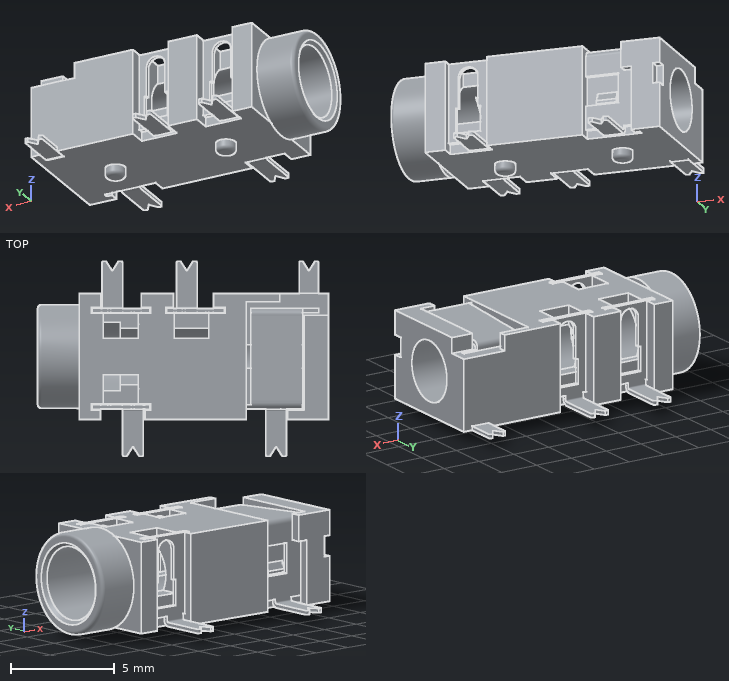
import cadquery as cq
import math

length = 14.0
body_width = 6.08
body_height = 4.5
body_top = body_height / 2
body_bottom = -body_top
body_side = body_width / 2

sleeve_length = 2.0
sleeve_radius = 5.0 / 2
sleeve_round = 0.2
entry_chamfer = 0.2

front_bore_radius = 3.6 / 2
rear_bore_radius = 3.1 / 2
bore_shoulder_x = 3.98

peg_radius = 1.0 / 2
peg_height = 0.5
peg_round = 0.2
peg_positions_x = (5.0, 11.0)

back_notch_length = 0.34
back_notch_depth = 0.5
back_notch_bottom = -0.01
back_notch_top = 1.0

sheet = 0.21
bend_radius = 0.08
left_plate_y = 2.32
right_plate_y = -2.53
left_tip_y = 4.59
right_tip_y = -4.8
tail_width = 1.01
tail_notch_width = 0.59
tail_notch_depth = 0.46
tail_tip_round = 0.08

plate_width = 2.77
plate_bottom = -1.75
slot_clearance = 0.04
keyhole_radius = 1.0 / 2
keyhole_top = 2.0
keyhole_step_z = -0.01
keyhole_foot_width = 1.26
keyhole_bottom = -1.29
window_inner_y = 0.88
window_floor = -0.74

bay_front = 10.05
bay_back = 12.82
bay_floor = 1.44
bay_side_y = -2.56
bay_wall_y = 2.65
bay_wall_end = 11.65
rear_block_side_y = 1.99
lip_upper_x = 12.03
lip_lower_x = 12.55
lip_step_z = 0.95
shell_front = 10.26
shell_back = 12.75
shell_left_back = 13.52
shell_high = 2.14
shell_low = 1.89
shell_slope_start_y = -2.11
shell_slope_end_y = 1.95
shell_round = 0.31
shell_plate_bottom = -1.83
shell_right_leg_x = 11.48
shell_left_leg_width = 0.94
catch_opening_end = 11.7
catch_opening_bottom = -0.65
catch_opening_top = 0.85
catch_x = (10.57, 11.58)
catch_bottom = -0.57
catch_edge_z = -0.4
catch_top = -0.03
catch_height = 0.15


def block(x, y, z):
    """Box between the given (start, end) pairs, in either order."""
    sizes = [abs(b - a) for a, b in (x, y, z)]
    corner = (min(x), min(y), min(z))
    return cq.Workplane("XY").box(*sizes, centered=False).translate(corner)


def outward(side, solid, x, outer_y):
    """Move a piece built facing +Y so that its outer face lies at outer_y, facing +Y or -Y."""
    turn = 0 if side > 0 else 180
    return solid.rotate((0, 0, 0), (0, 0, 1), turn).translate((x, outer_y, 0))


def bent_leg(width, reach, top):
    """Sheet leg that runs down its outer face y = 0 and bends out into a forked tail."""
    outer_radius = bend_radius + sheet
    centre_y = bend_radius
    centre_z = body_bottom + outer_radius
    diagonal = math.sqrt(0.5)
    strip = (
        cq.Workplane("YZ")
        .moveTo(-sheet, top)
        .lineTo(-sheet, centre_z)
        .threePointArc(
            (centre_y - outer_radius * diagonal, centre_z - outer_radius * diagonal),
            (centre_y, body_bottom),
        )
        .lineTo(reach, body_bottom)
        .lineTo(reach, body_bottom + sheet)
        .lineTo(centre_y, body_bottom + sheet)
        .threePointArc(
            (centre_y - bend_radius * diagonal, centre_z - bend_radius * diagonal),
            (0, centre_z),
        )
        .lineTo(0, top)
        .close()
        .extrude(width / 2, both=True)
    )
    strip = strip.edges("|Z and >Y").fillet(tail_tip_round)
    fork = (
        cq.Workplane("XY", origin=(0, 0, body_bottom))
        .polyline([
            (-tail_notch_width / 2, reach),
            (0, reach - tail_notch_depth),
            (tail_notch_width / 2, reach),
        ])
        .close()
        .extrude(sheet)
    )
    return strip.cut(fork)


def keyhole():
    """Cutter for the keyhole in a terminal plate: round-topped slot over a wider foot."""
    centre_z = keyhole_top - keyhole_radius
    through = (-sheet, 0)
    slot = block((-keyhole_radius, keyhole_radius), through, (keyhole_step_z, centre_z))
    foot = block(
        (-keyhole_foot_width / 2, keyhole_foot_width / 2), through, (keyhole_bottom, keyhole_step_z)
    )
    round_top = (
        cq.Workplane("XZ").center(0, centre_z).circle(keyhole_radius).extrude(sheet)
    )
    return slot.union(foot).union(round_top)


def terminal(side, centre_x, leg_x):
    """Contact plate with its keyhole and its tail, flush with the top of the body."""
    outer_y, tip_y = (left_plate_y, left_tip_y) if side > 0 else (right_plate_y, right_tip_y)
    plate = block((-plate_width / 2, plate_width / 2), (-sheet, 0), (plate_bottom, body_top))
    plate = outward(side, plate.cut(keyhole()), centre_x, outer_y)
    leg = bent_leg(tail_width, abs(tip_y - outer_y), plate_bottom)
    return plate.union(outward(side, leg, leg_x, outer_y))


def cut_terminal_seat(body, side, centre_x, recess_x, window_x):
    """Cut the outer recess, plate slot, undercut below the plate and top window for one terminal."""
    outer_y = left_plate_y if side > 0 else right_plate_y
    inner_y = outer_y - side * sheet
    full_height = (body_bottom, body_top)
    half_slot = plate_width / 2 + slot_clearance
    recess = block(recess_x, (outer_y, side * body_side), full_height)
    slot = block(
        (centre_x - half_slot, centre_x + half_slot),
        (inner_y - side * slot_clearance, outer_y + side * slot_clearance),
        (plate_bottom, body_top),
    )
    undercut = block(recess_x, (inner_y, outer_y), (body_bottom, plate_bottom))
    window = block(window_x, (side * window_inner_y, inner_y), (window_floor, body_top))
    return body.cut(recess).cut(slot).cut(undercut).cut(window)


def cut_shell_bay(body):
    """Cut the open bay over and beside the rear of the bore that receives the shell."""
    top = (bay_floor, body_top)
    full_height = (body_bottom, body_top)
    inner_y = right_plate_y + sheet
    bay = block((bay_front, bay_back), (inner_y, bay_wall_y), top)
    open_corner = block((bay_wall_end, length), (rear_block_side_y, body_side), top)
    side_bay = block((bay_front, bay_back), (bay_side_y, inner_y), full_height)
    upper_opening = block((bay_front, lip_upper_x), (-body_side, bay_side_y), full_height)
    lower_opening = block((bay_front, lip_lower_x), (-body_side, bay_side_y), (body_bottom, lip_step_z))
    return body.cut(bay).cut(open_corner).cut(side_bay).cut(upper_opening).cut(lower_opening)


def shell_catch():
    """Ramp on the -Y wall that snaps into the opening of the shell."""
    wall_y = right_plate_y + sheet
    return (
        cq.Workplane("YZ", origin=(catch_x[0], 0, 0))
        .polyline([
            (wall_y, catch_bottom),
            (wall_y - catch_height, catch_bottom),
            (wall_y - catch_height, catch_edge_z),
            (wall_y, catch_top),
        ])
        .close()
        .extrude(catch_x[1] - catch_x[0])
    )


def cut_bore(body):
    """Stepped bore along X, chamfered at the entry."""
    profile = [
        (0, 0),
        (0, front_bore_radius + entry_chamfer),
        (entry_chamfer, front_bore_radius),
        (bore_shoulder_x, front_bore_radius),
        (bore_shoulder_x, rear_bore_radius),
        (length, rear_bore_radius),
        (length, 0),
    ]
    bore = cq.Workplane("XY").polyline(profile).close().revolve(360, (0, 0, 0), (1, 0, 0))
    return body.cut(bore)


def peg(x):
    """Round locating peg under the body."""
    return (
        cq.Workplane("XY", origin=(x, 0, body_bottom))
        .circle(peg_radius)
        .extrude(-peg_height)
        .faces("<Z")
        .edges()
        .fillet(peg_round)
    )


terminals = [
    (1, 4.02, 3.6, (3.07, 4.98), (3.16, 4.86)),
    (1, 7.6, 7.18, (6.55, 8.45), (6.58, 8.23)),
    (-1, 4.02, 4.59, (3.04, 5.17), (3.16, 4.86)),
]


def make_housing():
    """Body with entry sleeve, pegs and the three terminals fixed in their slots."""
    full_height = (body_bottom, body_top)
    body = block((sleeve_length, length), (-body_side, body_side), full_height)
    for side, centre_x, _, recess_x, window_x in terminals:
        body = cut_terminal_seat(body, side, centre_x, recess_x, window_x)
    body = cut_shell_bay(body)
    body = body.union(shell_catch())

    sleeve = cq.Workplane("YZ").circle(sleeve_radius).extrude(sleeve_length)
    body = body.union(sleeve.faces("<X").edges().fillet(sleeve_round))
    body = cut_bore(body)

    body = body.cut(block(
        (length - back_notch_length, length),
        (-body_side, -body_side + back_notch_depth),
        (back_notch_bottom, back_notch_top),
    ))
    for x in peg_positions_x:
        body = body.union(peg(x))
    for side, centre_x, leg_x, _, _ in terminals:
        body = body.union(terminal(side, centre_x, leg_x))
    return body


def shell_section(inset, corner_round):
    """Solid under the sloping roof of the shell, inset from its outer faces."""
    right_y = right_plate_y + inset
    left_y = left_plate_y - inset
    outline = [
        (right_y, shell_plate_bottom),
        (right_y, shell_high - inset),
        (shell_slope_start_y, shell_high - inset),
        (shell_slope_end_y, shell_low - inset),
        (left_y, shell_low - inset),
        (left_y, shell_plate_bottom),
    ]
    solid = (
        cq.Workplane("YZ", origin=(bay_front, 0, 0))
        .polyline(outline)
        .close()
        .extrude(shell_back - bay_front)
    )
    for corner in ((right_y, shell_high - inset), (left_y, shell_low - inset)):
        edge = cq.selectors.NearestToPointSelector(((bay_front + shell_back) / 2, *corner))
        solid = solid.edges(edge).fillet(corner_round)
    return solid


def make_shell():
    """Bent sheet that bridges the bay, with one plate and one tail on each side."""
    inner_y = right_plate_y + sheet
    shell = shell_section(0, shell_round).cut(shell_section(sheet, shell_round - sheet))
    shell = shell.cut(block((bay_front, shell_front), (inner_y, left_plate_y), (body_bottom, body_top)))
    shell = shell.cut(block(
        (bay_front, catch_opening_end),
        (right_plate_y, inner_y),
        (catch_opening_bottom, catch_opening_top),
    ))
    shell = shell.union(block(
        (shell_back, shell_left_back),
        (left_plate_y - sheet, left_plate_y),
        (shell_plate_bottom, bay_floor),
    ))
    right_leg = bent_leg(tail_width, right_plate_y - right_tip_y, shell_plate_bottom)
    left_leg = bent_leg(shell_left_leg_width, left_tip_y - left_plate_y, shell_plate_bottom)
    left_leg_x = shell_left_back - shell_left_leg_width / 2
    shell = shell.union(outward(-1, right_leg, shell_right_leg_x, right_plate_y))
    return shell.union(outward(1, left_leg, left_leg_x, left_plate_y))


shell = make_shell()
housing = make_housing().cut(shell)

result = cq.Compound.makeCompound([*housing.solids().vals(), *shell.solids().vals()])